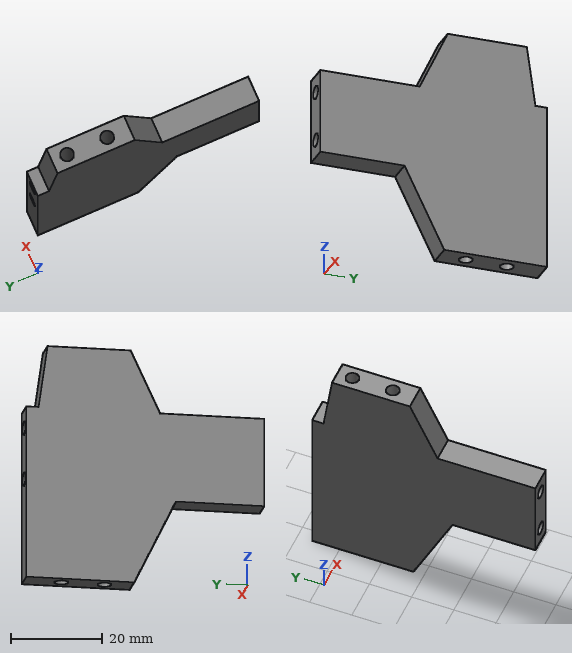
import cadquery as cq

thickness = 6.0
depth = 52.9
height = 52.9

arm_bottom = 18.95
arm_height = 19.95
arm_top = arm_bottom + arm_height
arm_lower_root = 19.6
arm_upper_root = 23.15

bottom_front = 28.9
top_front = 29.75
top_back = 48.2
step_width = 2.7

hole_diameter = 3.0
arm_hole_spacing = 11.65
arm_hole_rise = 0.05
top_hole_front = 35.0
top_hole_spacing = 9.6

profile = [
    (bottom_front, 0),
    (arm_lower_root, arm_bottom),
    (0, arm_bottom),
    (0, arm_top),
    (arm_upper_root, arm_top),
    (top_front, height),
    (top_back, height),
    (depth - step_width, arm_top),
    (depth, arm_top),
    (depth, 0),
]
plate = cq.Workplane("YZ").polyline(profile).close().extrude(thickness / 2, both=True)

arm_hole_middle = arm_bottom + arm_height / 2 + arm_hole_rise
arm_hole_points = [(0, arm_hole_middle + side * arm_hole_spacing / 2) for side in (-1, 1)]
arm_holes = (
    cq.Workplane("XZ")
    .pushPoints(arm_hole_points)
    .circle(hole_diameter / 2)
    .extrude(-depth)
)

top_hole_points = [(0, top_hole_front + index * top_hole_spacing) for index in range(2)]
top_holes = (
    cq.Workplane("XY")
    .pushPoints(top_hole_points)
    .circle(hole_diameter / 2)
    .extrude(height)
)

result = plate.cut(arm_holes).cut(top_holes)